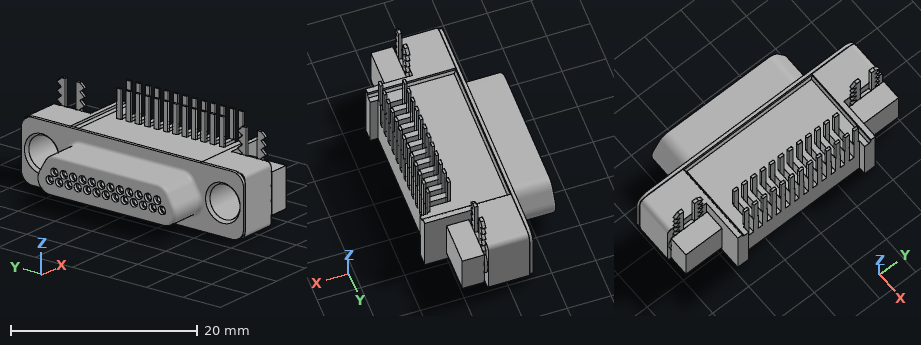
import cadquery as cq
import math

plate_front = 4.7
sheet_thickness = 0.4
body_front = plate_front + sheet_thickness
body_rear = 9.78
bracket_rear = body_rear + sheet_thickness
block_rear = 12.7
comb_rear = 14.27
overall_depth = 15.15

plate_width = 30.1
plate_height = 7.83
plate_corner_radius = 1.5
mid_height = plate_height / 2
body_width = 29.85
body_height = 7.52
body_corner_radius = 0.63
body_top = mid_height + body_height / 2
tail_width = 19.08
rear_notch_width = 16.07

shell_height = 4.67
shell_mid_width = 18.42
shell_side_tilt = 30.0
shell_corner_radius = 1.65
shell_edge_radius = 0.35
flare_radius = 0.45
selection_margin = 0.03

contact_pitch = 1.25
row_spacing = 1.02
lower_row_count = 13
upper_row_count = 12
socket_mouth_diameter = 0.95
socket_bore_diameter = 0.6
socket_mouth_depth = 0.42
socket_depth = 2.4
pin_width = 0.6
pin_thickness = 0.3
pin_top = 10.63
front_pin_x = 11.4
rear_pin_x = comb_rear - pin_thickness
channel_floor = mid_height

panel_width = 17.82
panel_wall_depth = 0.3
panel_bevel_depth = 0.25
panel_bevel_width = 0.27

mount_offset = 12.25
mount_bore_diameter = 4.05
mount_mouth_diameter = 4.67
block_side = 5.0
prong_top = 10.87
prong_gap = 1.5
prong_root_half = 1.3
prong_tip_half = 1.9
barb_pitch = 1.02
barb_drop = 0.55
barb_count = 5


def box(x_min, x_max, width, z_min, z_max, y_mid=0.0):
    """Box between two X stations and two heights, centred on y_mid."""
    block = cq.Workplane("XY").box(x_max - x_min, width, z_max - z_min, centered=(False, True, False))
    return block.translate((x_min, y_mid, z_min))


def face_plane(x):
    """Sketch plane facing +X at station x: sketch x is Y, sketch y is Z above mid height."""
    return cq.Workplane("YZ", origin=(x, 0, mid_height))


def row_positions(count):
    """Y positions of a centred row of contacts."""
    return [(i - (count - 1) / 2) * contact_pitch for i in range(count)]


def mating_shell():
    """D-shaped shell with rounded corners and a rounded front edge."""
    lean = shell_height / 2 * math.tan(math.radians(shell_side_tilt))
    low_half = shell_mid_width / 2 + lean
    high_half = shell_mid_width / 2 - lean
    half_height = shell_height / 2
    outline = [
        (-low_half, -half_height),
        (low_half, -half_height),
        (high_half, half_height),
        (-high_half, half_height),
    ]
    shell = face_plane(0).polyline(outline).close().extrude(body_front)
    shell = shell.edges("|X").fillet(shell_corner_radius)
    return shell.faces("<X").edges().fillet(shell_edge_radius)


def shell_with_plate():
    """Shell and front plate joined by a rounded flare."""
    plate = face_plane(plate_front).rect(plate_width, plate_height).extrude(sheet_thickness)
    plate = plate.edges("|X").fillet(plate_corner_radius)
    root_zone = cq.selectors.BoxSelector(
        (plate_front - selection_margin, -mount_offset, selection_margin),
        (plate_front + selection_margin, mount_offset, plate_height - selection_margin),
    )
    return plate.union(mating_shell()).edges(root_zone).fillet(flare_radius)


def housing():
    """Wide rounded body with a narrower tail, notched between two rear ears."""
    body = face_plane(body_front).rect(body_width, body_height).extrude(body_rear - body_front)
    body = body.edges("|X").fillet(body_corner_radius)
    tail = box(body_front, overall_depth, tail_width, body_top - body_height, body_top)
    notch = box(comb_rear, overall_depth, rear_notch_width, 0, body_top)
    return body.union(tail).cut(notch)


def panel_recess():
    """Recess open to the rear: upright walls above, sloping walls down to the floor."""
    wall_base = body_top - panel_wall_depth
    cut_length = overall_depth
    bevel_angle = math.degrees(math.atan2(panel_bevel_width, panel_bevel_depth))
    upper = box(body_front, body_front + cut_length, panel_width, wall_base, body_top)
    lower = (
        cq.Workplane("XY", origin=(body_front + cut_length / 2, 0, wall_base))
        .rect(cut_length, panel_width)
        .extrude(-panel_bevel_depth, taper=bevel_angle)
    )
    return upper.union(lower)


def pin_channels():
    """Channels running rearward from each front-row pin."""
    channels = cq.Workplane("XY")
    for y in row_positions(upper_row_count):
        channels = channels.union(box(front_pin_x, comb_rear, pin_width, channel_floor, body_top, y))
    return channels


def add_pins(part, x, count):
    """Join one row of upright pins, with front faces at station x, to the part."""
    for y in row_positions(count):
        part = part.union(box(x, x + pin_thickness, pin_width, channel_floor, pin_top, y))
    return part


def socket_holes():
    """Two staggered rows of stepped contact sockets in the mating face."""
    lower_row = [(y, -row_spacing / 2) for y in row_positions(lower_row_count)]
    upper_row = [(y, row_spacing / 2) for y in row_positions(upper_row_count)]
    sockets = face_plane(0).pushPoints(lower_row + upper_row)
    mouths = sockets.circle(socket_mouth_diameter / 2).extrude(socket_mouth_depth)
    bores = sockets.circle(socket_bore_diameter / 2).extrude(socket_depth)
    return mouths.union(bores)


def mount_hole(y):
    """Blind mounting bore with a conical mouth through the plate."""
    bore = face_plane(plate_front).center(y, 0).circle(mount_bore_diameter / 2).extrude(body_rear - plate_front)
    mouth = (
        face_plane(plate_front)
        .center(y, 0)
        .circle(mount_mouth_diameter / 2)
        .workplane(offset=sheet_thickness)
        .circle(mount_bore_diameter / 2)
        .loft()
    )
    return bore.union(mouth)


def barbed_prong(y, side):
    """One prong of a board lock, barbed on the edge away from its partner."""
    top = prong_top - mid_height
    inner_y = y + side * prong_gap / 2
    root_y = y + side * prong_root_half
    tip_y = y + side * prong_tip_half
    outline = [(inner_y, 0), (inner_y, top)]
    for i in range(barb_count):
        root_z = top - i * barb_pitch
        outline.append((root_y, root_z))
        outline.append((tip_y, root_z - barb_drop))
    outline.append((tip_y, 0))
    return face_plane(body_rear).polyline(outline).close().extrude(sheet_thickness)


def board_lock(y):
    """Round bracket with two barbed prongs, backed by a square nut block."""
    disc = face_plane(body_rear).center(y, 0).circle(block_side / 2).extrude(sheet_thickness)
    block_bottom = mid_height - block_side / 2
    block = box(bracket_rear, block_rear, block_side, block_bottom, block_bottom + block_side, y)
    return disc.union(barbed_prong(y, 1)).union(barbed_prong(y, -1)).union(block)


result = shell_with_plate().union(housing())
result = result.cut(panel_recess()).cut(pin_channels()).cut(socket_holes())
result = add_pins(result, front_pin_x, upper_row_count)
result = add_pins(result, rear_pin_x, lower_row_count)
for mount_y in (-mount_offset, mount_offset):
    result = result.union(board_lock(mount_y)).cut(mount_hole(mount_y))